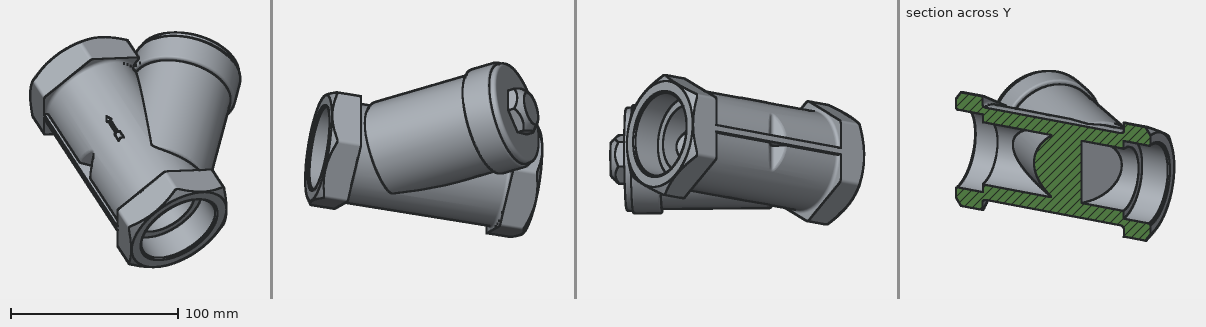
import cadquery as cq
import math

length = 130.0
body_diameter = 60.0
bore_diameter = 40.0

hex_flats = 64.5
hex_length = 18.0
hex_corner_radius = 2.5
hex_face_diameter = 64.0
hex_chamfer_angle = 35.0
neck_radius = 2.0
socket_diameter = 50.0
socket_depth = 18.0
socket_chamfer = 1.0

branch_angle = 40.0
branch_start = (25.1, 7.2)
branch_diameter = 60.0
branch_rim_radius = 2.0
cap_start = 65.5
cap_diameter = 65.0
cap_length = 17.5
cap_edge_radius = 1.5
lid_diameter = 62.0
lid_thickness = 4.0
lid_edge_radius = 2.0

head_flats = 26.0
head_height = 9.0
head_face_diameter = 20.0
head_chamfer_angle = 45.0

rib_width = 4.0
notch_x = 1.2
notch_depth = 6.45
notch_edge_radius = 2.0

arrow_tip_x = -11.0
arrow_y = -9.0
arrow_height = 0.2
arrow_head_length = 3.4
arrow_head_width = 3.0
arrow_shaft_length = 10.2
arrow_shaft_width = 1.5
arrow_tail_length = 5.5
arrow_tail_width = 3.5
arrow_tail_notch = 1.1

coincidence_tolerance = 0.001

half_length = length / 2
body_radius = body_diameter / 2
hex_inner_x = half_length - hex_length


def corner_diameter(flats):
    """Diameter across the corners of a hexagon given its size across flats."""
    return flats / math.cos(math.pi / 6)


def x_cylinder(diameter, start, end):
    """Cylinder about the X axis between two X positions."""
    return cq.Workplane("YZ", origin=(start, 0, 0)).circle(diameter / 2).extrude(end - start)


def farthest_along(plane):
    """Selector for the face farthest along a plane's normal."""
    return cq.selectors.DirectionMinMaxSelector(plane.zDir, True)


def chamfer_envelope(plane, height, face_diameter, angle, outer_diameter):
    """Round bar on a plane whose far end is coned down to face_diameter."""
    outer_radius = outer_diameter / 2
    drop = (outer_radius - face_diameter / 2) * math.tan(math.radians(angle))
    bar = cq.Workplane(plane).circle(outer_radius).extrude(height)
    return bar.faces(farthest_along(plane)).chamfer(drop, outer_radius - face_diameter / 2)


def hex_bar(plane, flats, height):
    """Hexagonal bar with two flats facing the plane's local X axis."""
    return (
        cq.Workplane(plane)
        .transformed(rotate=(0, 0, 90))
        .polygon(6, corner_diameter(flats))
        .extrude(height)
    )


def make_pipe_end(side):
    """Rounded and chamfered hexagon on one end; side is -1 or +1 along X."""
    plane = cq.Plane(origin=(side * hex_inner_x, 0, 0), xDir=(0, 1, 0), normal=(side, 0, 0))
    nut = hex_bar(plane, hex_flats, hex_length).edges("|X").fillet(hex_corner_radius)
    envelope = chamfer_envelope(
        plane, hex_length, hex_face_diameter, hex_chamfer_angle, corner_diameter(hex_flats)
    )
    return nut.intersect(envelope)


def make_neck(side):
    """Concave flare where the round body meets a hexagon."""
    neck_x = side * (hex_inner_x - neck_radius)
    hex_x = side * hex_inner_x
    outer_radius = body_radius + neck_radius
    bend = neck_radius * math.sqrt(0.5)
    return (
        cq.Workplane("XY")
        .moveTo(neck_x, 0)
        .lineTo(neck_x, body_radius)
        .threePointArc((neck_x + side * bend, outer_radius - bend), (hex_x, outer_radius))
        .lineTo(hex_x, 0)
        .close()
        .revolve(360, (0, 0, 0), (1, 0, 0))
    )


def cut_notch(body):
    """V groove across the -Y side, with rounded root and rim."""
    root_y = -body_radius + notch_depth
    wedge_depth = 2 * notch_depth
    wedge = (
        cq.Workplane("XY", origin=(0, 0, -body_radius))
        .moveTo(notch_x, root_y)
        .lineTo(notch_x - wedge_depth, root_y - wedge_depth)
        .lineTo(notch_x + wedge_depth, root_y - wedge_depth)
        .close()
        .extrude(body_diameter)
    )
    wedge = wedge.edges("|Z and >Y").fillet(notch_edge_radius)
    body = body.cut(wedge)
    rim_box = cq.selectors.BoxSelector(
        (notch_x - wedge_depth, -body_diameter, -body_radius),
        (notch_x + wedge_depth, root_y, body_radius),
    )
    return body.edges(rim_box).edges("not |Z").fillet(notch_edge_radius)


def make_rib():
    """Rib flush with the hexagons, reaching in as far as the bore."""
    outer_y = -hex_flats / 2
    root_y = -bore_diameter / 2
    rib = cq.Workplane("XY").box(2 * hex_inner_x, root_y - outer_y, rib_width)
    return rib.translate((0, (root_y + outer_y) / 2, 0))


def make_bore():
    """Bore and both sockets as a solid to be cut away."""
    bore = x_cylinder(bore_diameter, -half_length, half_length)
    socket_radius = socket_diameter / 2
    for side in (-1, 1):
        plane = cq.Plane(origin=(side * half_length, 0, 0), xDir=(0, 1, 0), normal=(-side, 0, 0))
        socket = cq.Workplane(plane).circle(socket_radius).extrude(socket_depth)
        mouth = cq.Solid.makeCone(
            socket_radius + socket_chamfer, socket_radius, socket_chamfer, plane.origin, plane.zDir
        )
        bore = bore.union(socket).union(cq.Workplane(mouth))
    return bore


def branch_plane(distance):
    """Plane square to the branch axis, at a distance from its inner end."""
    angle = math.radians(branch_angle)
    axis = (-math.cos(angle), math.sin(angle), 0)
    origin = (branch_start[0] + distance * axis[0], branch_start[1] + distance * axis[1], 0)
    return cq.Plane(origin=origin, xDir=(math.sin(angle), math.cos(angle), 0), normal=axis)


def make_branch():
    """Solid plug, cap, lid and hexagonal head, stacked along the branch axis."""
    lid_start = cap_start + cap_length
    head_start = lid_start + lid_thickness
    plug = cq.Workplane(branch_plane(0)).circle(branch_diameter / 2).extrude(cap_start)
    cap = cq.Workplane(branch_plane(cap_start)).circle(cap_diameter / 2).extrude(cap_length)
    cap = cap.edges().fillet(cap_edge_radius)
    lid_plane = branch_plane(lid_start)
    lid = cq.Workplane(lid_plane).circle(lid_diameter / 2).extrude(lid_thickness)
    lid = lid.faces(farthest_along(lid_plane)).edges().fillet(lid_edge_radius)
    head_plane = branch_plane(head_start)
    head = hex_bar(head_plane, head_flats, head_height).intersect(
        chamfer_envelope(
            head_plane, head_height, head_face_diameter, head_chamfer_angle,
            corner_diameter(head_flats),
        )
    )
    return plug.union(cap).union(lid).union(head)


def round_branch_rim(body):
    """Round the part of the branch's inner rim that stands proud of the body."""
    start = branch_plane(0)
    rim = [
        edge
        for edge in body.edges("%CIRCLE").vals()
        if edge.arcCenter().sub(start.origin).Length < coincidence_tolerance
        and abs(edge.radius() - branch_diameter / 2) < coincidence_tolerance
    ]
    return body.newObject(rim).fillet(branch_rim_radius)


def make_arrow():
    """Thin arrow following the curve of the body."""
    neck_x = arrow_tip_x + arrow_head_length
    tail_x = neck_x + arrow_shaft_length
    end_x = tail_x + arrow_tail_length
    upper_side = [
        (neck_x, arrow_head_width / 2),
        (neck_x, arrow_shaft_width / 2),
        (tail_x, arrow_shaft_width / 2),
        (tail_x, arrow_tail_width / 2),
        (end_x, arrow_tail_width / 2),
    ]
    lower_side = [(x, -y) for x, y in reversed(upper_side)]
    outline = [(arrow_tip_x, 0)] + upper_side + [(end_x - arrow_tail_notch, 0)] + lower_side
    prism = (
        cq.Workplane("XY", origin=(0, arrow_y, 0)).polyline(outline).close().extrude(body_diameter)
    )
    skin = x_cylinder(body_diameter + 2 * arrow_height, -hex_inner_x, hex_inner_x).cut(
        x_cylinder(body_diameter - 2 * arrow_height, -hex_inner_x, hex_inner_x)
    )
    return prism.intersect(skin)


pipe = cut_notch(x_cylinder(body_diameter, -hex_inner_x, hex_inner_x))
pipe = pipe.union(make_rib())
for end_side in (-1, 1):
    pipe = pipe.union(make_neck(end_side)).union(make_pipe_end(end_side))
branch = make_branch()
outside = round_branch_rim(pipe.union(branch)).union(make_arrow())
result = outside.cut(make_bore().cut(branch))